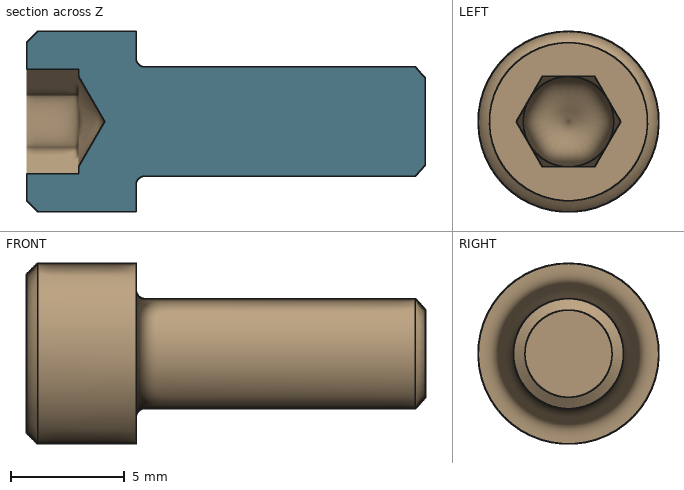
import cadquery as cq
import math

INCH = 25.4

head_diameter = 0.3125 * INCH
head_length = 0.19 * INCH
head_chamfer = 0.5

shank_diameter = 0.19 * INCH
shank_length = 0.5 * INCH
tip_chamfer_length = 0.45
tip_chamfer_depth = 0.5
neck_fillet = 0.37

socket_sides = 6
socket_across_flats = 5 / 32 * INCH
socket_depth = 0.09 * INCH
drill_point_angle = 120

head_radius = head_diameter / 2
shank_radius = shank_diameter / 2
head_face_x = -head_length


def make_body():
    """Revolve the half profile of head, neck fillet, shank and tip about X."""
    fillet_mid_offset = neck_fillet * (1 - math.sqrt(0.5))
    profile = (
        cq.Workplane("XZ")
        .moveTo(head_face_x, 0)
        .lineTo(head_face_x, head_radius - head_chamfer)
        .lineTo(head_face_x + head_chamfer, head_radius)
        .lineTo(0, head_radius)
        .lineTo(0, shank_radius + neck_fillet)
        .threePointArc(
            (fillet_mid_offset, shank_radius + fillet_mid_offset),
            (neck_fillet, shank_radius),
        )
        .lineTo(shank_length - tip_chamfer_length, shank_radius)
        .lineTo(shank_length, shank_radius - tip_chamfer_depth)
        .lineTo(shank_length, 0)
        .close()
    )
    return profile.revolve(360, (0, 0, 0), (1, 0, 0))


def make_socket():
    """Hexagonal recess with corners toward +Y and -Y, ending in a conical drill point."""
    across_corners = socket_across_flats / math.cos(math.pi / socket_sides)
    hexagon = (
        cq.Workplane("YZ", origin=(head_face_x, 0, 0))
        .polygon(socket_sides, across_corners)
        .extrude(socket_depth)
    )
    point_radius = socket_across_flats / 2
    point_length = point_radius / math.tan(math.radians(drill_point_angle / 2))
    floor_x = head_face_x + socket_depth
    drill_point = (
        cq.Workplane("XZ")
        .moveTo(floor_x, 0)
        .lineTo(floor_x, point_radius)
        .lineTo(floor_x + point_length, 0)
        .close()
        .revolve(360, (0, 0, 0), (1, 0, 0))
    )
    return hexagon.union(drill_point)


result = make_body().cut(make_socket())